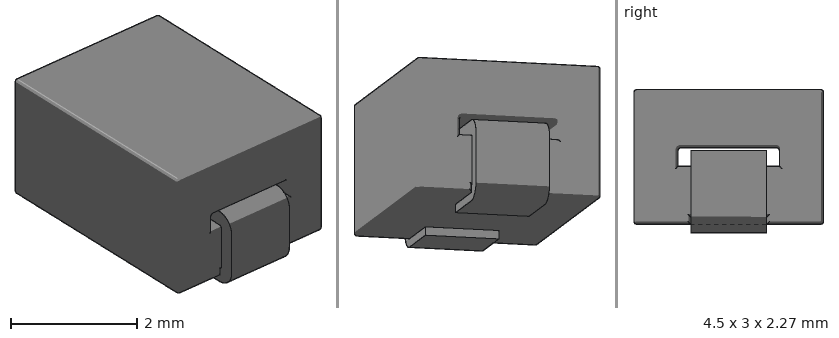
import cadquery as cq

overall_length = 4.5
body_length = 4.0
body_width = 3.0
body_top = 2.27
standoff = 0.135
edge_radius = 0.05

strap_width = 1.2
strap_thickness = (overall_length - body_length) / 2
strap_top = 1.305
foot_length = 1.3
outer_bend_radius = strap_thickness + edge_radius

tunnel_width = 1.6
tunnel_floor = strap_top - strap_thickness
tunnel_top = 1.345
tunnel_corner_radius = 0.05


def box(length, width, bottom, top, center_x=0):
    """Box centred in Y, between two heights."""
    return (
        cq.Workplane("XY", origin=(center_x, 0, bottom))
        .rect(length, width)
        .extrude(top - bottom)
    )


def make_tunnel():
    tunnel = box(overall_length, tunnel_width, tunnel_floor, tunnel_top)
    return tunnel.edges("|X and >Z").fillet(tunnel_corner_radius)


def foot_box(side, bottom, top):
    """Space taken by one terminal foot; side is -1 or 1."""
    center_x = side * (overall_length - foot_length) / 2
    return box(foot_length, strap_width, bottom, top, center_x)


def make_body():
    body = box(body_length, body_width, standoff, body_top)
    body = body.edges("|X").fillet(edge_radius)
    body = body.cut(make_tunnel())
    for side in (-1, 1):
        body = body.cut(foot_box(side, 0, strap_thickness))
    return body.faces("<X or >X").edges().fillet(edge_radius)


def make_strap():
    outer = box(overall_length, strap_width, 0, strap_top)
    outer = outer.edges("|Y").fillet(outer_bend_radius)
    inner = box(body_length, strap_width, strap_thickness, tunnel_floor)
    inner = inner.edges("|Y").fillet(edge_radius)
    foot_gap = box(overall_length - 2 * foot_length, strap_width, 0, strap_thickness)
    return outer.cut(inner).cut(foot_gap)


result = make_body().union(make_strap())